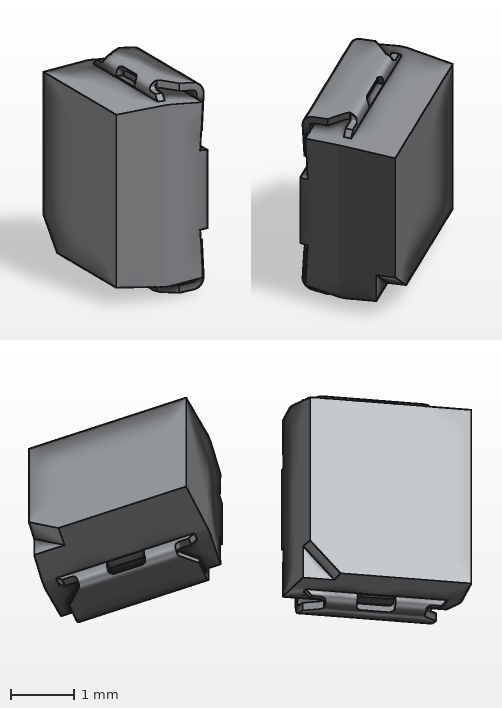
import math

import cadquery as cq


BODY_WIDTH = 2.8
BODY_HEIGHT = 3.0
BODY_DEPTH = 1.6
DRAFT = 5.0
LENS_DIAMETER = 2.4
LENS_DEPTH = 0.3

PAD_HALF_HEIGHT = 0.645
STEP_ROOT_DEPTH = 1.467
PAD_ROOT_HALF_HEIGHT = PAD_HALF_HEIGHT + (BODY_DEPTH - STEP_ROOT_DEPTH) * math.tan(math.radians(DRAFT))

MARK_LEG = 0.5
MARK_DEPTH = 0.31

OVERALL_HEIGHT = 3.5
OVERALL_DEPTH = 1.65
SHEET = 0.125
BAND_FRONT = 0.805
BAND_BACK = BAND_FRONT + SHEET
BEND_RADIUS = 0.2
FOOT_TILT = 3.0
FOOT_END = 0.905
LEAD_ROOT = 1.2
TOP_BEND_ANGLE = 90 + DRAFT
FOOT_ANGLE = 180 + FOOT_TILT

ROOT_HALF_WIDTH = 1.17
FOOT_HALF_WIDTH = 1.1
NECK_HALF_WIDTH = 0.83
EAR_TOP = 1.6
NECK_FILLET = 0.085
TAPER_END = 1.22

UPPER_WINDOW = (0.335, 47.0)
LOWER_WINDOW = (0.315, 68.0)
WINDOW_START = 1.518
WINDOW_FILLET = 0.09

CUT_MARGIN = 0.5

BEND_1 = (BAND_FRONT + BEND_RADIUS, OVERALL_HEIGHT / 2 - BEND_RADIUS)
BEND_2_Y = OVERALL_DEPTH - BEND_RADIUS
BEND_2 = (BEND_2_Y, BEND_1[1] - (BEND_2_Y - BEND_1[0]) * math.tan(math.radians(DRAFT)))


def slab(y_start, depth, taper=0.0):
    """Body-sized block from y_start along Y; a negative depth grows towards the light face."""
    plane = cq.Workplane("XZ", origin=(0, y_start, 0))
    return plane.rect(BODY_WIDTH, BODY_HEIGHT).extrude(-depth, taper=taper)


def back_step():
    """Cutter for the sloping step above the back pad, parallel to the lead foot."""
    far = BODY_HEIGHT / 2 + CUT_MARGIN
    rise = (far - PAD_ROOT_HALF_HEIGHT) * math.tan(math.radians(FOOT_TILT))
    outline = [
        (BODY_DEPTH, PAD_HALF_HEIGHT),
        (STEP_ROOT_DEPTH, PAD_ROOT_HALF_HEIGHT),
        (STEP_ROOT_DEPTH + rise, far),
        (BODY_DEPTH, far),
    ]
    return cq.Workplane("YZ").polyline(outline).close().extrude(BODY_WIDTH, both=True)


def polarity_corner():
    """Cutter for the drafted triangular notch at the -X, -Z corner of the light face."""
    face_inset = BAND_FRONT * math.tan(math.radians(DRAFT))
    x_corner = face_inset - BODY_WIDTH / 2 - CUT_MARGIN
    z_corner = face_inset - BODY_HEIGHT / 2 - CUT_MARGIN
    leg = MARK_LEG + 2 * CUT_MARGIN
    triangle = [(x_corner, z_corner), (x_corner + leg, z_corner), (x_corner, z_corner + leg)]
    return cq.Workplane("XZ").polyline(triangle).close().extrude(-MARK_DEPTH, taper=DRAFT)


def make_body():
    band = slab(BAND_FRONT, SHEET)
    front = slab(BAND_FRONT, -BAND_FRONT, DRAFT)
    back = slab(BAND_BACK, BODY_DEPTH - BAND_BACK, DRAFT)
    step = back_step()
    body = band.union(front).union(back)
    return body.cut(step).cut(step.mirror("XY")).cut(polarity_corner())


def on_bend(center, radius, angle):
    """(Y, Z) point on a bend; 0 degrees faces -Y, 90 faces +Z, 180 faces +Y."""
    a = math.radians(angle)
    return (center[0] - radius * math.cos(a), center[1] + radius * math.sin(a))


def foot_tip(radius):
    """(Y, Z) end of the foot on the surface at this bend radius."""
    y, z = on_bend(BEND_2, radius, FOOT_ANGLE)
    return (y - (z - FOOT_END) * math.tan(math.radians(FOOT_TILT)), FOOT_END)


def bent_strip():
    """Full-width sheet: up from the band, back over the body end, down along the back."""
    outer = BEND_RADIUS
    inner = BEND_RADIUS - SHEET
    mid_1 = TOP_BEND_ANGLE / 2
    mid_2 = (TOP_BEND_ANGLE + FOOT_ANGLE) / 2
    profile = (
        cq.Workplane("YZ")
        .moveTo(BAND_FRONT, LEAD_ROOT)
        .lineTo(*on_bend(BEND_1, outer, 0))
        .threePointArc(on_bend(BEND_1, outer, mid_1), on_bend(BEND_1, outer, TOP_BEND_ANGLE))
        .lineTo(*on_bend(BEND_2, outer, TOP_BEND_ANGLE))
        .threePointArc(on_bend(BEND_2, outer, mid_2), on_bend(BEND_2, outer, FOOT_ANGLE))
        .lineTo(*foot_tip(outer))
        .lineTo(*foot_tip(inner))
        .lineTo(*on_bend(BEND_2, inner, FOOT_ANGLE))
        .threePointArc(on_bend(BEND_2, inner, mid_2), on_bend(BEND_2, inner, TOP_BEND_ANGLE))
        .lineTo(*on_bend(BEND_1, inner, TOP_BEND_ANGLE))
        .threePointArc(on_bend(BEND_1, inner, mid_1), on_bend(BEND_1, inner, 0))
        .lineTo(BAND_BACK, LEAD_ROOT)
        .close()
    )
    return profile.extrude(ROOT_HALF_WIDTH, both=True)


def ear_trim():
    """+X cutter for the sheet at the band: 45 degree root corner, shoulder and filleted neck."""
    body_end = BODY_HEIGHT / 2
    ear_half_width = ROOT_HALF_WIDTH - (EAR_TOP - body_end)
    far_x = ROOT_HALF_WIDTH + CUT_MARGIN
    far_z = EAR_TOP + CUT_MARGIN
    outline = [
        (NECK_HALF_WIDTH, far_z),
        (NECK_HALF_WIDTH, EAR_TOP),
        (ear_half_width, EAR_TOP),
        (ROOT_HALF_WIDTH, body_end),
        (far_x, body_end),
        (far_x, far_z),
    ]
    cutter = cq.Workplane("XZ").polyline(outline).close().extrude(-BAND_BACK)
    neck_corner = cq.selectors.NearestToPointSelector((NECK_HALF_WIDTH, BAND_BACK / 2, EAR_TOP))
    return cutter.edges(neck_corner).fillet(NECK_FILLET)


def foot_trim():
    """+X cutter behind the band: neck width, 45 degree taper, then foot width."""
    taper_start = TAPER_END - (FOOT_HALF_WIDTH - NECK_HALF_WIDTH)
    far_x = ROOT_HALF_WIDTH + CUT_MARGIN
    far_y = OVERALL_DEPTH + CUT_MARGIN
    cutter_height = OVERALL_HEIGHT / 2
    outline = [
        (NECK_HALF_WIDTH, BAND_BACK),
        (NECK_HALF_WIDTH, taper_start),
        (FOOT_HALF_WIDTH, TAPER_END),
        (FOOT_HALF_WIDTH, far_y),
        (far_x, far_y),
        (far_x, BAND_BACK),
    ]
    return cq.Workplane("XY").polyline(outline).close().extrude(cutter_height)


def bend_window(half_width, end_angle):
    """Cutter through the first bend from WINDOW_START to end_angle, with rounded far corners."""
    reach = BEND_RADIUS + SHEET
    core = (BEND_RADIUS - SHEET) / 2
    profile = (
        cq.Workplane("YZ")
        .moveTo(BEND_1[0] - reach, WINDOW_START)
        .lineTo(*on_bend(BEND_1, reach, 0))
        .threePointArc(on_bend(BEND_1, reach, end_angle / 2), on_bend(BEND_1, reach, end_angle))
        .lineTo(*on_bend(BEND_1, core, end_angle))
        .threePointArc(on_bend(BEND_1, core, end_angle / 2), on_bend(BEND_1, core, 0))
        .lineTo(BEND_1[0] - core, WINDOW_START)
        .close()
    )
    cutter = profile.extrude(half_width, both=True)
    edge_y, edge_z = on_bend(BEND_1, (reach + core) / 2, end_angle)
    for x in (-half_width, half_width):
        corner = cq.selectors.NearestToPointSelector((x, edge_y, edge_z))
        cutter = cutter.edges(corner).fillet(WINDOW_FILLET)
    return cutter


def make_lead(window):
    """Lead at the +Z end of the body."""
    lead = bent_strip()
    for trim in (ear_trim(), foot_trim()):
        lead = lead.cut(trim).cut(trim.mirror("YZ"))
    return lead.cut(bend_window(*window))


def make_lens():
    """Clear filling, flush with the light face."""
    return cq.Workplane("XZ").circle(LENS_DIAMETER / 2).extrude(-LENS_DEPTH)


upper_lead = make_lead(UPPER_WINDOW)
lower_lead = make_lead(LOWER_WINDOW).mirror("XY")
package = make_body().union(upper_lead).union(lower_lead)
result = package.union(make_lens(), clean=False)